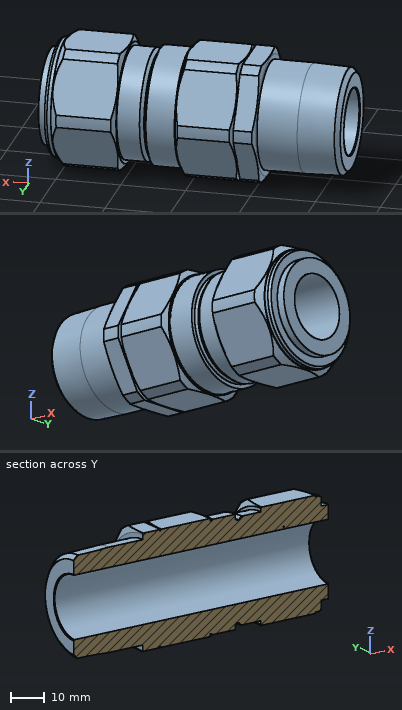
import cadquery as cq
import math

across_flats = 37.5
corner_diameter = 41.2
corner_radius = corner_diameter / 2

length = 93.05
bore_radius = 10.1
bore_chamfer = 0.3

spigot_radius = 16.75
spigot_tip_radius = 16.4
spigot_chamfer = 1.5
taper_end = 12.9

flange_start = 25.2
body_start = 31.6
body_end = 50.1
nut_start = 68.3
nut_end = 88.4

flange_bevel = (0.65, 18.4)
body_start_bevel = (1.2, 18.2)
body_end_bevel = (1.2, 18.6)
nut_start_bevel = (1.1, 18.4)
nut_end_bevel = (2.1, 18.5)

relief_radius = 18.0
relief_width = 0.3
collar_radius = 18.3
collar_end = 59.1
groove_shoulder_radius = 17.0
groove_radius = 16.3
groove_floor_start = 59.8
groove_floor_end = 60.2
neck_radius = 17.3
neck_start = 61.3

rim_radius = 18.3
rim_end = 90.4
rim_chamfer_length = 0.8
rim_chamfer_depth = 0.6
stub_radius = 15.0


def revolve(profile):
    """Turn a closed (x, radius) profile around the X axis."""
    return cq.Workplane("XY").polyline(profile).close().revolve(360, (0, 0, 0), (1, 0, 0))


def turned_core():
    """Everything round: spigot, relief, collar, groove, neck, rim and stub."""
    return revolve([
        (0, 0),
        (0, spigot_tip_radius - spigot_chamfer),
        (spigot_chamfer, spigot_tip_radius),
        (taper_end, spigot_radius),
        (body_end, spigot_radius),
        (body_end, relief_radius),
        (body_end + relief_width, relief_radius),
        (body_end + relief_width, collar_radius),
        (collar_end, collar_radius),
        (collar_end, groove_shoulder_radius),
        (groove_floor_start, groove_radius),
        (groove_floor_end, groove_radius),
        (neck_start, neck_radius),
        (nut_end, neck_radius),
        (nut_end, rim_radius),
        (rim_end - rim_chamfer_length, rim_radius),
        (rim_end, rim_radius - rim_chamfer_depth),
        (rim_end, stub_radius),
        (length, stub_radius),
        (length, 0),
    ])


def hexagon(start, end, start_bevel, end_bevel=None):
    """Hexagon bar along X, corners on +Y and -Y, trimmed to a bevelled round envelope."""
    bevel_length, face_radius = start_bevel
    profile = [(start, 0), (start, face_radius), (start + bevel_length, corner_radius)]
    if end_bevel:
        bevel_length, face_radius = end_bevel
        profile += [(end - bevel_length, corner_radius), (end, face_radius)]
    else:
        profile.append((end, corner_radius))
    profile.append((end, 0))

    across_corners = across_flats / math.cos(math.radians(30))
    bar = cq.Workplane("YZ", origin=(start, 0, 0)).polygon(6, across_corners).extrude(end - start)
    return bar.intersect(revolve(profile))


def bore():
    """Through bore with a small chamfer at the spigot mouth."""
    return revolve([
        (0, 0),
        (0, bore_radius + bore_chamfer),
        (bore_chamfer, bore_radius),
        (length, bore_radius),
        (length, 0),
    ])


flange = hexagon(flange_start, body_start, flange_bevel)
body = hexagon(body_start, body_end, body_start_bevel, body_end_bevel)
nut = hexagon(nut_start, nut_end, nut_start_bevel, nut_end_bevel)

result = turned_core().union(flange).union(body).union(nut).cut(bore())